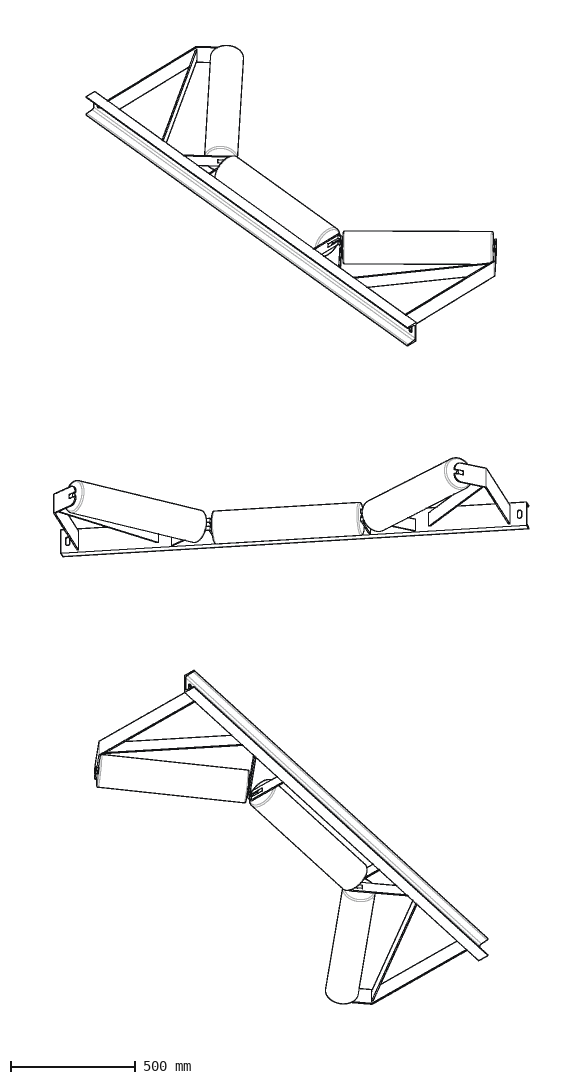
import cadquery as cq
import math


beam_length = 1900.0
beam_height = 99.0
beam_depth = 48.0
web_thickness = 6.0
flange_tip_thickness = 6.8
flange_taper = 0.08
root_fillet = 8.5
tip_fillet = 4.4
mount_slot_x = 922.0
mount_slot_width = 17.0
mount_slot_height = 35.0

roller_diameter = 133.0
roller_length = 600.0
roller_edge_fillet = 5.0
shaft_diameter = 25.0
shaft_flat_width = 17.0
end_gap = 6.6

trough_angle = 45.0
lean_angle = 1.8
wing_x = 574.0
wing_y = 405.0
center_roller_y = 167.0

bar_thickness = 6.0
outer_bar_width = 80.0
inner_bar_width = 50.0
brace_width = 57.0
outer_post_x = 880.0
outer_tip_reach = 28.0
tip_corner_radius = 30.0
bend_inner_radius = 4.0
cap_y = 213.0
brace_base_x = 553.0
slot_reach = 57.0

slope_cos = math.cos(math.radians(trough_angle))
slope_sin = math.sin(math.radians(trough_angle))
lean_cos = math.cos(math.radians(lean_angle))
lean_sin = math.sin(math.radians(lean_angle))
support_offset = roller_length / 2 + end_gap + bar_thickness / 2
wing_z = -support_offset * lean_sin
center_roller_z = 2 * wing_z
weld_y = beam_depth - web_thickness / 2
shaft_length = 2 * (support_offset + bar_thickness / 2)

wing_plane = cq.Plane(
    origin=(-wing_x, wing_y, wing_z),
    xDir=(slope_sin, slope_cos, 0),
    normal=(-slope_cos * lean_cos, slope_sin * lean_cos, lean_sin),
)
center_plane = cq.Plane(
    origin=(0, center_roller_y, center_roller_z),
    xDir=(0, 1, 0),
    normal=(1, 0, 0),
)


def mirrored(body):
    """The same body on the +X side."""
    return body.mirror("YZ")


def in_all_places(make_body):
    """One copy of a body at each of the three roller positions."""
    left = make_body(wing_plane)
    return [left, make_body(center_plane), mirrored(left)]


def roller(plane):
    return (
        cq.Workplane(plane)
        .workplane(offset=-roller_length / 2)
        .circle(roller_diameter / 2)
        .extrude(roller_length)
        .edges("%CIRCLE")
        .fillet(roller_edge_fillet)
        .cut(cq.Workplane(plane).circle(shaft_diameter / 2).extrude(shaft_length / 2, both=True))
    )


def shaft(plane):
    bar = cq.Workplane(plane).circle(shaft_diameter / 2).extrude(shaft_length / 2, both=True)
    flat_ends = (
        cq.Workplane(plane)
        .rect(shaft_diameter, shaft_flat_width)
        .extrude(shaft_length / 2, both=True)
    )
    round_middle = cq.Workplane(plane).circle(shaft_diameter / 2).extrude(roller_length / 2, both=True)
    return bar.intersect(flat_ends).union(round_middle)


def support_slots(plane):
    slot_bottom = -shaft_diameter / 2
    slot_length = slot_reach - slot_bottom
    cutter = None
    for offset in (-support_offset, support_offset):
        box = (
            cq.Workplane(plane)
            .workplane(offset=offset)
            .center(slot_bottom + slot_length / 2, 0)
            .rect(slot_length, shaft_flat_width)
            .extrude(2 * bar_thickness, both=True)
        )
        cutter = box if cutter is None else cutter.union(box)
    return cutter


def channel():
    half_height = beam_height / 2
    web_y = beam_depth - web_thickness
    tip_z = half_height - flange_tip_thickness
    root_z = tip_z - flange_taper * web_y
    beam = (
        cq.Workplane("YZ")
        .polyline([
            (0, half_height),
            (beam_depth, half_height),
            (beam_depth, -half_height),
            (0, -half_height),
            (0, -tip_z),
            (web_y, -root_z),
            (web_y, root_z),
            (0, tip_z),
        ])
        .close()
        .extrude(beam_length / 2, both=True)
    )
    for side in (-1, 1):
        root = cq.selectors.NearestToPointSelector((0, web_y, side * root_z))
        tip = cq.selectors.NearestToPointSelector((0, 0, side * tip_z))
        beam = beam.edges("|X").edges(root).fillet(root_fillet)
        beam = beam.edges("|X").edges(tip).fillet(tip_fillet)
    slots = (
        cq.Workplane("XZ")
        .pushPoints([(-mount_slot_x, 0), (mount_slot_x, 0)])
        .slot2D(mount_slot_height, mount_slot_width, 90)
        .extrude(-beam_depth)
    )
    return beam.cut(slots)


def bar_outline(path, half):
    """Closed outline of a strip around a path, mitred at each bend."""
    headings = [math.atan2(b[1] - a[1], b[0] - a[0]) for a, b in zip(path, path[1:])]
    before = [headings[0]] + headings
    after = headings + [headings[-1]]
    near_side, far_side = [], []
    for (x, y), heading_in, heading_out in zip(path, before, after):
        middle = (heading_in + heading_out) / 2
        miter = half / math.cos((heading_out - heading_in) / 2)
        shift_x = -miter * math.sin(middle)
        shift_y = miter * math.cos(middle)
        near_side.append((x + shift_x, y + shift_y))
        far_side.append((x - shift_x, y - shift_y))
    return near_side + far_side[::-1]


def flat_bar(path, width, center_z=0):
    outline = bar_outline(path, bar_thickness / 2)
    bar = cq.Workplane("XY").polyline(outline).close().extrude(width / 2, both=True)
    return bar.translate((0, 0, center_z))


def wing_support(outward):
    reach = outward * support_offset * lean_cos
    return (-wing_x - reach * slope_cos, wing_y + reach * slope_sin)


def along_wing_support(point, distance):
    return (point[0] + distance * slope_sin, point[1] + distance * slope_cos)


def outer_bend():
    """Corner where the outer post's center line meets the slope of the wing support."""
    support = wing_support(1)
    return along_wing_support(support, (-outer_post_x - support[0]) / slope_sin)


def outer_bracket():
    bend = outer_bend()
    tip = along_wing_support(wing_support(1), outer_tip_reach)
    bar = flat_bar([(-outer_post_x, weld_y), bend, tip], outer_bar_width)

    for side, radius in ((-1, bend_inner_radius + bar_thickness), (1, bend_inner_radius)):
        corner = (bend[0] + side * bar_thickness / 2, bend[1], 0)
        bar = bar.edges("|Z").edges(cq.selectors.NearestToPointSelector(corner)).fillet(radius)

    tip_face = cq.selectors.DirectionMinMaxSelector(cq.Vector(slope_sin, slope_cos, 0))
    return bar.faces(tip_face).edges("#Z").fillet(tip_corner_radius)


def inner_bracket():
    support = wing_support(-1)
    foot = along_wing_support(support, (weld_y - support[1]) / slope_cos)
    cap_start = along_wing_support(support, (cap_y - support[1]) / slope_cos)
    path = [foot, cap_start, (-support_offset, cap_y), (-support_offset, weld_y)]
    return flat_bar(path, inner_bar_width, center_roller_z)


def brace():
    return flat_bar([(-brace_base_x, weld_y), outer_bend()], brace_width)


def frame():
    left_side = outer_bracket().union(inner_bracket()).union(brace()).cut(support_slots(wing_plane))
    welded = channel().union(left_side).union(mirrored(left_side))
    return welded.cut(support_slots(center_plane))


rollers = in_all_places(roller)
shafts = in_all_places(shaft)
base_frame = frame()

result = cq.Compound.makeCompound(
    [base_frame.val()] + [body.val() for body in rollers] + [body.val() for body in shafts]
)